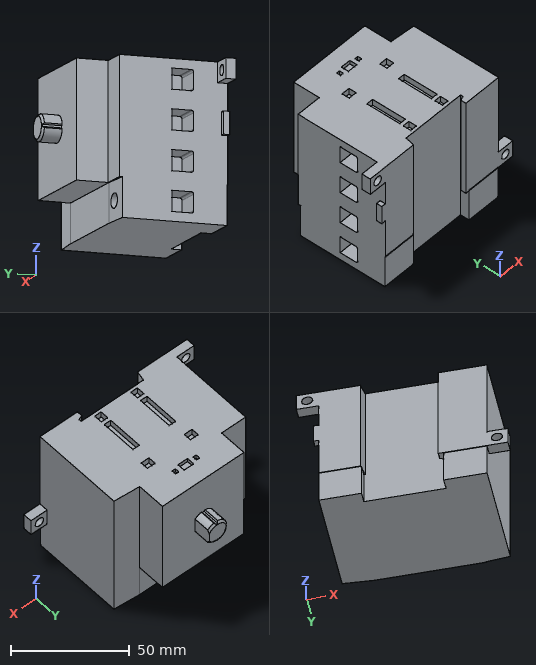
import cadquery as cq
import math


total_width = 91
body_width = 72.3
total_height = 70.0
pole_count = 4
pole_pitch = total_height / pole_count
base_height = pole_pitch
centre_x = body_width / 2
main_centre_z = (base_height + total_height) / 2

head_front = 63.0
head_left = 13.5
head_right = 58.9
shoulder_front = 48.7
slope_inner = 48.4
slope_outer = 47.4
base_back = 0.3

rail_depth = 5.0
rail_left_floor = 19.0
rail_left_mouth = 17.9
rail_right_floor = 53.7
lip_tip = 51.4
lip_front = 3.7
lip_thickness = 2.8
base_rail_left = 18.4

lug_height = 9.0
lug_thickness = 4.6
left_lug_reach = 9.65
right_lug_reach = total_width - body_width - left_lug_reach
lug_hole_diameter = 4.6
lug_hole_inset = 4.7
tab_reach = 2.3
tab_bottom = 38.6
tab_height = 10.0
tab_thickness = 2.9

window_height = 9.1
window_back = 15.5
window_front = 25.2
window_depth = 13.65
window_corner_radius = 1.0

screw_diameter = 6.5
screw_x = 8.2
screw_depth = 4.55

shaft_diameter = 11.9
shaft_end = 72.0
shaft_chamfer = 1.0
shaft_flat_offset = 4.5
groove_width = 2.3
groove_floor_width = 0.9
groove_depth = 0.7

shallow_depth = 2.0
deep_depth = 3.3
pocket_centre_x = 35.7
indicator_y = 51.9
indicator_width = 5.3
indicator_length = 3.9
latch_offset = 5.8
latch_width = 1.7
latch_length = 2.1
paired_pockets = [
    (12.0, 40.95, 4.3, 3.9),
    (10.1, 21.9, 3.55, 18.3),
    (10.1, 8.7, 3.55, 4.2),
]


def block(x0, x1, y0, y1, z0, z1):
    """Box between two opposite corners."""
    return cq.Workplane("XY").box(x1 - x0, y1 - y0, z1 - z0, centered=False).translate((x0, y0, z0))


def main_block():
    outline = [
        (0, 0),
        (rail_left_mouth, 0),
        (rail_left_floor, rail_depth),
        (rail_right_floor, rail_depth),
        (rail_right_floor, lip_front),
        (lip_tip, lip_thickness),
        (lip_tip, 0),
        (body_width, 0),
        (body_width, slope_outer),
        (head_right, slope_inner),
        (head_right, head_front),
        (head_left, head_front),
        (head_left, shoulder_front),
        (0, shoulder_front),
    ]
    return (
        cq.Workplane("XY", origin=(0, 0, base_height))
        .polyline(outline).close()
        .extrude(total_height - base_height)
    )


def base_block():
    outline = [
        (0, base_back),
        (base_rail_left, base_back),
        (base_rail_left, rail_depth),
        (rail_right_floor, rail_depth),
        (rail_right_floor, base_back),
        (body_width, base_back),
        (body_width, slope_outer),
        (head_right, slope_inner),
        (head_left, slope_inner),
        (0, slope_outer),
    ]
    return cq.Workplane("XY").polyline(outline).close().extrude(base_height)


def lug(x0, x1, hole_x, z0):
    plate = block(x0, x1, 0, lug_thickness, z0, z0 + lug_height)
    hole = (
        cq.Workplane("XZ", origin=(hole_x, 0, z0 + lug_height / 2))
        .circle(lug_hole_diameter / 2)
        .extrude(-lug_thickness)
    )
    return plate.cut(hole)


def shaft():
    length = shaft_end - head_front
    radius = shaft_diameter / 2
    body = cq.Workplane("XZ").circle(radius).extrude(-length)
    body = body.faces(">Y").edges().chamfer(shaft_chamfer)
    body = body.cut(block(shaft_flat_offset, shaft_diameter, 0, length, -radius, radius))
    floor_z = radius - groove_depth
    flare = (groove_width - groove_floor_width) / 2
    groove = (
        cq.Workplane("XZ")
        .polyline([
            (-groove_floor_width / 2, floor_z),
            (groove_floor_width / 2, floor_z),
            (groove_floor_width / 2 + 2 * flare, floor_z + 2 * groove_depth),
            (-groove_floor_width / 2 - 2 * flare, floor_z + 2 * groove_depth),
        ])
        .close()
        .extrude(-length)
    )
    for angle in (0, -90):
        body = body.cut(groove.rotate((0, 0, 0), (0, 1, 0), angle))
    return body.translate((centre_x, head_front, main_centre_z))


def wire_window(centre_z):
    z0 = centre_z - window_height / 2
    window = block(0, window_depth, window_back, window_front, z0, z0 + window_height)
    return window.edges("|X and <Y").fillet(window_corner_radius)


def screw_hole():
    slope = math.degrees(math.atan2(slope_inner - slope_outer, head_left))
    surface_y = slope_outer + screw_x * (slope_inner - slope_outer) / head_left
    return (
        cq.Workplane("XZ", origin=(0, screw_depth, 0))
        .circle(screw_diameter / 2)
        .extrude(2 * screw_depth)
        .rotate((0, 0, 0), (0, 0, 1), slope)
        .translate((screw_x, surface_y, base_height / 2))
    )


def top_pocket(x, y, width, length, depth):
    return block(
        x - width / 2, x + width / 2, y - length / 2, y + length / 2, total_height - depth, total_height
    )


result = main_block().union(base_block())
result = result.union(
    lug(-left_lug_reach, 0, lug_hole_inset - left_lug_reach, total_height - lug_height)
)
right_lug_tip = body_width + right_lug_reach
result = result.union(lug(body_width, right_lug_tip, right_lug_tip - lug_hole_inset, base_height))
result = result.union(block(-tab_reach, 0, 0, tab_thickness, tab_bottom, tab_bottom + tab_height))
result = result.union(shaft())

for pole in range(pole_count):
    result = result.cut(wire_window((pole + 0.5) * pole_pitch))

result = result.cut(screw_hole())

result = result.cut(top_pocket(centre_x, indicator_y, indicator_width, indicator_length, shallow_depth))
for side in (-1, 1):
    latch_x = centre_x + side * latch_offset
    result = result.cut(top_pocket(latch_x, indicator_y, latch_width, latch_length, shallow_depth))

for offset, y, width, length in paired_pockets:
    for side in (-1, 1):
        result = result.cut(top_pocket(pocket_centre_x + side * offset, y, width, length, deep_depth))